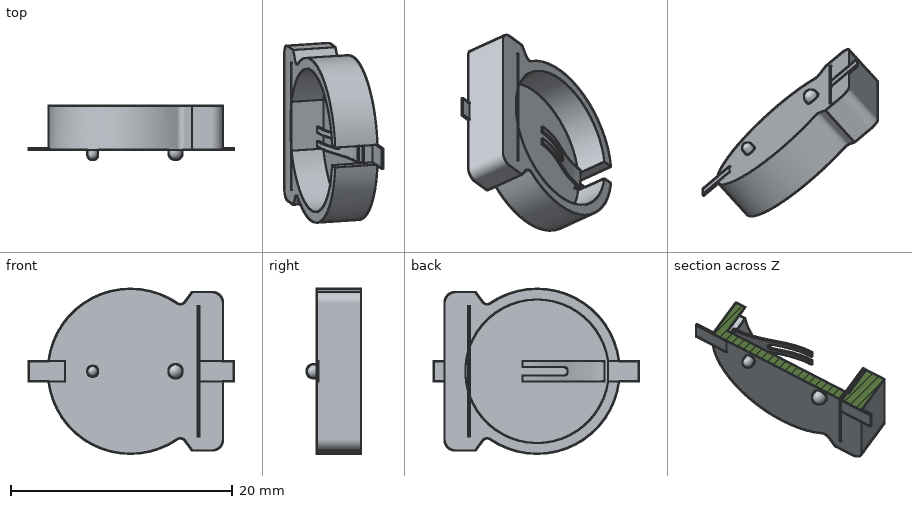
import cadquery as cq
import math


overall_length = 18.54

body_radius = 7.47
body_depth = 4.0
floor_thickness = 1.0
pocket_radius = 6.49

head_right = 8.38
head_left = 5.58
head_half_height = 7.17
head_corner_radius = 1.0
notch_x = 4.62
notch_radius = 0.5

peg_length = 0.93
pegs = [(-3.41, 1.0), (4.08, 1.3)]

sheet = 0.158
tab_width = 1.84
left_tab_outer = -9.2
left_tab_inner = -5.93
right_tab_outer = left_tab_outer + overall_length
plate_left = 6.08
plate_right = plate_left + sheet
plate_height = 11.8

leaf_base = 1.35
leaf_rise = 1.54
leaf_length = 7.42
leaf_slit_width = 0.8
leaf_slit_start = 3.32
leaf_left = left_tab_inner - sheet


def box(x_min, x_max, y_min, y_max, height):
    """Box between X and Y limits, centred on Z = 0."""
    return (
        cq.Workplane("XY")
        .box(x_max - x_min, y_max - y_min, height, centered=(False, False, True))
        .translate((x_min, y_min, 0))
    )


def make_peg(x, diameter):
    """Round peg with a hemispherical tip, pointing toward -Y."""
    radius = diameter / 2
    shank_length = peg_length - radius
    return (
        cq.Workplane("XY")
        .moveTo(0, 0)
        .lineTo(radius, 0)
        .lineTo(radius, -shank_length)
        .radiusArc((0, -peg_length), radius)
        .close()
        .revolve(axisStart=(0, 0), axisEnd=(0, 1))
        .translate((x, 0, 0))
    )


def make_outer_block():
    """Round body that runs into the squared head through a notch on each side."""
    notch_z = math.sqrt(body_radius**2 - notch_x**2)
    block = (
        cq.Workplane("XZ")
        .moveTo(notch_x, notch_z)
        .threePointArc((-body_radius, 0), (notch_x, -notch_z))
        .lineTo(head_left, -head_half_height)
        .lineTo(head_right, -head_half_height)
        .lineTo(head_right, head_half_height)
        .lineTo(head_left, head_half_height)
        .close()
        .extrude(-body_depth)
    )
    notch_edges = cq.selectors.BoxSelector(
        (notch_x - notch_radius, 0, -body_radius), (notch_x + notch_radius, body_depth, body_radius)
    )
    block = block.edges("|Y").edges(notch_edges).fillet(notch_radius)
    return block.edges("|Y and >X").fillet(head_corner_radius)


def make_housing():
    """Housing with its pegs, open at the back, with openings for the contacts."""
    housing = make_outer_block()
    for x, diameter in pegs:
        housing = housing.union(make_peg(x, diameter))

    pocket = (
        cq.Workplane("XZ", origin=(0, floor_thickness, 0))
        .circle(pocket_radius)
        .extrude(floor_thickness - body_depth)
    )
    slot_end = -math.sqrt(pocket_radius**2 - (tab_width / 2) ** 2)
    wall_slot = box(-body_radius, slot_end, 0, body_depth, tab_width)
    left_tab_recess = box(-body_radius, left_tab_inner, 0, sheet, tab_width)
    upright_slot = box(leaf_left, left_tab_inner, 0, floor_thickness, tab_width)
    plate_slot = box(plate_left, plate_right, 0, body_depth, plate_height)
    right_tab_recess = box(plate_right, head_right, 0, sheet, tab_width)
    for opening in (pocket, wall_slot, left_tab_recess, upright_slot, plate_slot, right_tab_recess):
        housing = housing.cut(opening)
    return housing


def make_spring_leaf():
    """Forked leaf, curved up and level at both ends, lying on the upright."""
    start = (leaf_left, leaf_base)
    tip = (leaf_left + leaf_length, leaf_base + leaf_rise)
    top_start = (start[0], start[1] + sheet)
    top_tip = (tip[0], tip[1] + sheet)
    leaf = (
        cq.Workplane("XY", origin=(0, 0, -tab_width / 2))
        .spline([start, tip], tangents=[(1, 0), (1, 0)])
        .lineTo(*top_tip)
        .spline([top_tip, top_start], tangents=[(-1, 0), (-1, 0)])
        .close()
        .extrude(tab_width)
    )
    slit_left = leaf_left + leaf_slit_start
    slit_end_centre = slit_left + leaf_slit_width / 2
    slit = box(slit_end_centre, tip[0], 0, body_depth, leaf_slit_width).union(
        cq.Workplane("XZ")
        .center(slit_end_centre, 0)
        .circle(leaf_slit_width / 2)
        .extrude(-body_depth)
    )
    return leaf.cut(slit)


housing = make_housing()
left_tab = box(left_tab_outer, left_tab_inner, 0, sheet, tab_width)
upright = box(leaf_left, left_tab_inner, sheet, leaf_base, tab_width)
spring_leaf = make_spring_leaf()
contact_plate = box(plate_left, plate_right, 0, body_depth, plate_height)
right_tab = box(plate_right, right_tab_outer, 0, sheet, tab_width)

result = cq.Compound.makeCompound(
    [
        housing.val(),
        left_tab.val(),
        upright.val(),
        spring_leaf.val(),
        contact_plate.val(),
        right_tab.val(),
    ]
)